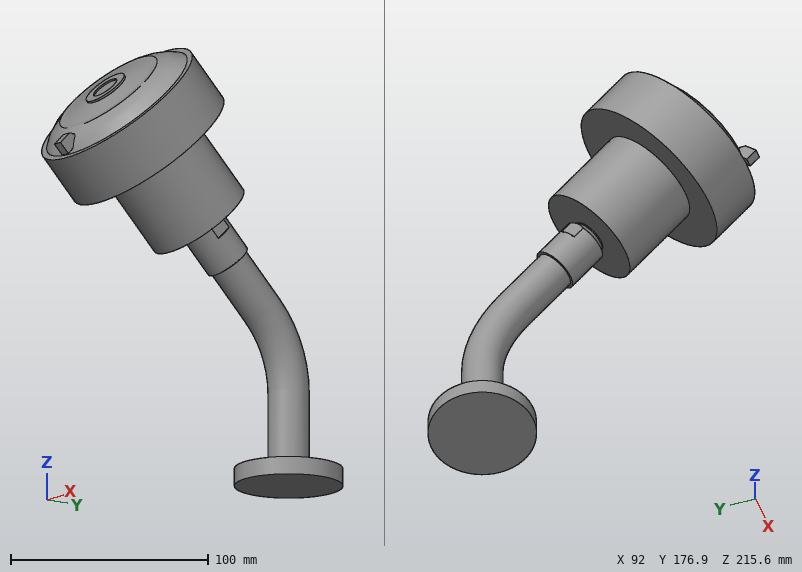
import cadquery as cq
import math

base_radius = 27.5
base_thickness = 9.0

pipe_radius = 10.5
bend_start_z = 47.8
bend_radius = 58.5
tilt_angle = 45.0
arm_length = 31.5

nut_radius = 12.0
nut_length = 26.3
nut_chamfer = 2.8
neck_length = 0.6
flat_width = 9.7
flat_length = 10.3
flat_offset = math.sqrt(nut_radius**2 - (flat_width / 2) ** 2)

barrel_radius = base_radius
barrel_length = 46.0
collar_diameter = 92.0
collar_radius = collar_diameter / 2
collar_length = 29.0
dome_radius = 43.0
dome_middle = (36.6, 5.0)
ledge_outer_radius = 29.7
ledge_inner_radius = 26.5
ledge_height = 7.8
button_radius = 11.6
button_base_height = 9.7
button_height = 10.8
recess_radius = 7.1
recess_depth = 0.9

tab_width = 5.0
tab_inner_radius = 35.1
tab_outer_radius = 45.5
tab_bottom = 1.7
tab_top = 8.8
tab_chamfer = 2.2

tilt = math.radians(tilt_angle)
arm_start_y = -bend_radius * (1 - math.cos(tilt))
arm_start_z = bend_start_z + bend_radius * math.sin(tilt)


def place_on_arm(body, distance):
    """Turn a body built along Z onto the tilted axis, at a distance past the bend."""
    tilted = body.rotate((0, 0, 0), (1, 0, 0), tilt_angle)
    y = arm_start_y - distance * math.sin(tilt)
    z = arm_start_z + distance * math.cos(tilt)
    return tilted.translate((0, y, z))


def make_base():
    return cq.Workplane("XY").circle(base_radius).extrude(base_thickness)


def make_pipe():
    bend_middle = (
        -bend_radius * (1 - math.cos(tilt / 2)),
        bend_start_z + bend_radius * math.sin(tilt / 2),
    )
    arm_end = (
        arm_start_y - arm_length * math.sin(tilt),
        arm_start_z + arm_length * math.cos(tilt),
    )
    path = (
        cq.Workplane("YZ")
        .moveTo(0, base_thickness)
        .lineTo(0, bend_start_z)
        .threePointArc(bend_middle, (arm_start_y, arm_start_z))
        .lineTo(*arm_end)
    )
    return cq.Workplane("XY").workplane(offset=base_thickness).circle(pipe_radius).sweep(path)


def make_nut():
    nut = cq.Workplane("XY").circle(nut_radius).extrude(nut_length - neck_length)
    nut = nut.faces(">Z").chamfer(nut_chamfer)
    nut = nut.faces(">Z").workplane().circle(nut_radius - nut_chamfer).extrude(neck_length)
    for side in (-1, 1):
        flat_cut = cq.Workplane("XY").box(
            nut_radius, flat_width, flat_length, centered=(True, True, False)
        )
        flat_x = side * (flat_offset + nut_radius / 2)
        nut = nut.cut(flat_cut.translate((flat_x, 0, nut_length - flat_length)))
    return place_on_arm(nut, arm_length)


def make_tab(rim_z):
    inner_y = -tab_inner_radius
    outer_y = -tab_outer_radius
    return (
        cq.Workplane("YZ")
        .moveTo(outer_y, rim_z + tab_bottom)
        .lineTo(outer_y, rim_z + tab_top)
        .lineTo(inner_y - tab_chamfer, rim_z + tab_top)
        .lineTo(inner_y, rim_z + tab_top - tab_chamfer)
        .lineTo(inner_y, rim_z + tab_bottom)
        .close()
        .extrude(tab_width / 2, both=True)
    )


def make_head():
    rim_z = barrel_length + collar_length
    ledge_z = rim_z + ledge_height
    button_top_z = rim_z + button_height
    recess_z = button_top_z - recess_depth
    head = (
        cq.Workplane("XZ")
        .lineTo(barrel_radius, 0)
        .lineTo(barrel_radius, barrel_length)
        .lineTo(collar_radius, barrel_length)
        .lineTo(collar_radius, rim_z)
        .lineTo(dome_radius, rim_z)
        .threePointArc((dome_middle[0], rim_z + dome_middle[1]), (ledge_outer_radius, ledge_z))
        .lineTo(ledge_inner_radius, ledge_z)
        .lineTo(button_radius, rim_z + button_base_height)
        .lineTo(button_radius, button_top_z)
        .lineTo(recess_radius, button_top_z)
        .lineTo(recess_radius, recess_z)
        .lineTo(0, recess_z)
        .close()
        .revolve(360, (0, 0, 0), (0, 1, 0))
    )
    head = head.union(make_tab(rim_z))
    return place_on_arm(head, arm_length + nut_length)


base = make_base()
pipe = make_pipe()
nut = make_nut()
head = make_head()

result = cq.Compound.makeCompound([base.val(), pipe.val(), nut.val(), head.val()])